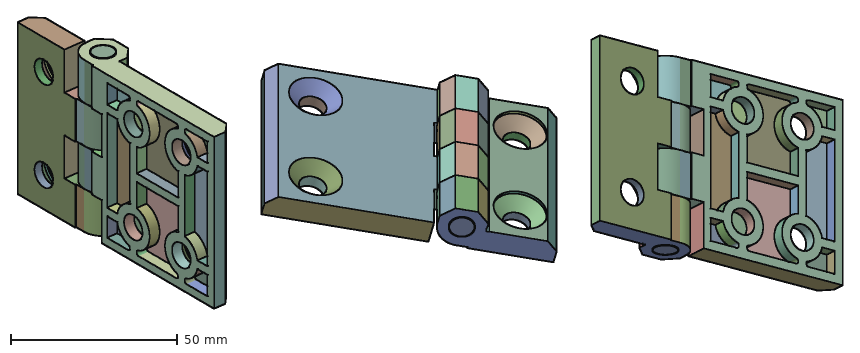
import cadquery as cq
import math

length = 90.0
height = 60.0
leaf_thickness = 8.0
barrel_top = 15.0
outer_edge_chamfer = 3.5

axis_x = 30.0
axis_y = 8.0
knuckle_count = 4
knuckle_height = height / knuckle_count
barrel_radius = 7.5
knuckle_clearance = 1.0
barrel_chamfer = 4.0
pin_diameter = 8.0
pin_end_chamfer = 0.2

hole_diameter = 8.5
countersink_diameter = 16.5
hole_end_inset = 12.0
hole_zs = (hole_end_inset, height - hole_end_inset)

narrow_flat = 3.5
narrow_slot_x = axis_x - barrel_radius - knuckle_clearance
narrow_arc_center_y = 7.9
narrow_head_seat_depth = 1.0
narrow_hole_x = hole_end_inset

wide_flat = 4.0
wide_slot_x = axis_x + barrel_radius + knuckle_clearance
wide_hole_spacing = 22.0
wide_hole_edge_inset = 15.0
wide_outer_hole_x = length - wide_hole_edge_inset
wide_inner_hole_x = wide_outer_hole_x - wide_hole_spacing

pocket_depth = 4.0
border = 3.0
pocket_x_min = 41.0
pocket_x_max = length - border
rib_width = 3.0
boss_diameter = 15.0
neck_fillet = 0.9


def box(x_min, x_max, y_min, y_max, z_min, z_max):
    """Axis-aligned block between the given limits."""
    return cq.Workplane("XY").box(
        x_max - x_min, y_max - y_min, z_max - z_min, centered=False
    ).translate((x_min, y_min, z_min))


def cylinder_y(x, z, diameter, y_min, y_max):
    """Cylinder along Y, between two depths."""
    circle = cq.Workplane("XZ", origin=(x, y_min, z)).circle(diameter / 2)
    return circle.extrude(y_min - y_max)


def knuckle(index, side, flat, root_x, arc_center_y):
    """One knuckle, joined to its leaf on the given side (-1 for -X, +1 for +X)."""
    free_x = axis_x - side * barrel_radius
    leaf_side_x = axis_x + side * barrel_radius
    shoulder_y = barrel_top - barrel_chamfer
    arc_bottom_y = arc_center_y - barrel_radius
    arc_offset = barrel_radius * math.sqrt(0.5)
    outline = (
        cq.Workplane("XY", origin=(0, 0, index * knuckle_height))
        .moveTo(free_x, arc_center_y)
        .threePointArc(
            (axis_x - side * arc_offset, arc_center_y - arc_offset),
            (axis_x, arc_bottom_y),
        )
        .lineTo(axis_x + side * flat, arc_bottom_y)
        .lineTo(axis_x + side * flat, 0)
        .lineTo(root_x, 0)
        .lineTo(root_x, arc_center_y)
        .lineTo(leaf_side_x, arc_center_y)
        .lineTo(leaf_side_x, shoulder_y)
        .lineTo(leaf_side_x - side * barrel_chamfer, barrel_top)
        .lineTo(free_x + side * barrel_chamfer, barrel_top)
        .lineTo(free_x, shoulder_y)
        .close()
    )
    return outline.extrude(knuckle_height)


def pin_cylinder():
    """Full-height cylinder on the hinge axis: the pin blank and its bore."""
    return cq.Workplane("XY").center(axis_x, axis_y).circle(pin_diameter / 2).extrude(height)


def screw_hole(x, z, seat_depth=0):
    """Through hole, 90 degree countersunk from +Y; a seat depth sinks the cone below the face."""
    bore_radius = hole_diameter / 2
    sink_radius = countersink_diameter / 2
    sink_depth = sink_radius - bore_radius
    cone_top_y = leaf_thickness - seat_depth
    bore = cylinder_y(x, z, hole_diameter, 0, leaf_thickness)
    cone = cq.Solid.makeCone(
        sink_radius, bore_radius, sink_depth,
        pnt=cq.Vector(x, cone_top_y, z), dir=cq.Vector(0, -1, 0),
    )
    hole = bore.union(cq.Workplane(cone))
    if seat_depth > 0:
        hole = hole.union(cylinder_y(x, z, countersink_diameter, cone_top_y, leaf_thickness))
    return hole


def make_narrow_leaf():
    leaf = box(0, narrow_slot_x, 0, leaf_thickness, 0, height)
    leaf = leaf.edges("<X and >Y").chamfer(outer_edge_chamfer)
    for index in range(0, knuckle_count, 2):
        leaf = leaf.union(knuckle(index, -1, narrow_flat, narrow_slot_x, narrow_arc_center_y))
    for z in hole_zs:
        leaf = leaf.cut(screw_hole(narrow_hole_x, z, narrow_head_seat_depth))
    return leaf.cut(pin_cylinder())


def make_pockets():
    """Recesses left between the border, the ribs and the screw bosses."""
    pockets = box(pocket_x_min, pocket_x_max, 0, pocket_depth, border, height - border)
    half_rib = rib_width / 2
    for x in (wide_inner_hole_x, wide_outer_hole_x):
        pockets = pockets.cut(box(x - half_rib, x + half_rib, 0, pocket_depth, 0, height))
        for z in hole_zs:
            pockets = pockets.cut(cylinder_y(x, z, boss_diameter, 0, pocket_depth))
    pockets = pockets.cut(box(
        wide_inner_hole_x, wide_outer_hole_x, 0, pocket_depth,
        height / 2 - half_rib, height / 2 + half_rib,
    ))
    for z in hole_zs:
        for x_min, x_max in (
            (pocket_x_min, wide_inner_hole_x),
            (wide_outer_hole_x, pocket_x_max),
        ):
            pockets = pockets.cut(box(x_min, x_max, 0, pocket_depth, z - half_rib, z + half_rib))
    return round_necks(pockets)


def round_necks(pockets):
    """Round the pocket corners where a boss comes close to the top or bottom border."""
    boss_radius = boss_diameter / 2
    low_boss_z, high_boss_z = hole_zs
    for x in (wide_inner_hole_x, wide_outer_hole_x):
        for z_min, z_max in (
            (0, low_boss_z - boss_radius / 2),
            (high_boss_z + boss_radius / 2, height),
        ):
            neck = cq.selectors.BoxSelector(
                (x - rib_width, 0, z_min), (x + rib_width, pocket_depth, z_max)
            )
            pockets = pockets.edges("|Y").edges(neck).fillet(neck_fillet)
    return pockets


def make_wide_leaf():
    leaf = box(wide_slot_x, length, 0, leaf_thickness, 0, height)
    leaf = leaf.edges(">X and >Y").chamfer(outer_edge_chamfer)
    for index in range(1, knuckle_count, 2):
        leaf = leaf.union(knuckle(index, 1, wide_flat, wide_slot_x, axis_y))
    leaf = leaf.cut(make_pockets())
    for z in hole_zs:
        leaf = leaf.cut(screw_hole(wide_outer_hole_x, z))
        leaf = leaf.cut(cylinder_y(wide_inner_hole_x, z, hole_diameter, 0, pocket_depth))
    return leaf.cut(pin_cylinder())


narrow_leaf = make_narrow_leaf()
wide_leaf = make_wide_leaf()
pin = pin_cylinder().edges("%CIRCLE").chamfer(pin_end_chamfer)

result = cq.Compound.makeCompound([narrow_leaf.val(), wide_leaf.val(), pin.val()])